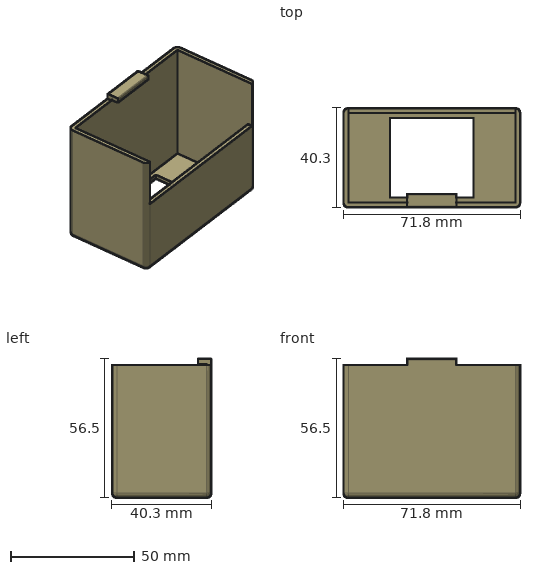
import cadquery as cq

length = 71.8
depth = 40.3
total_height = 56.5
wall = 2.0
edge_radius = 2.0

tab_height = 2.5
tab_width = 20.0
tab_depth = 5.5
tab_edge_radius = 0.5
hook_clearance = 0.3

window_length = 33.8
window_depth = 32.2
back_wall_drop = 21.05

body_height = total_height - tab_height
inner_length = length - 2 * wall
inner_depth = depth - 2 * wall
front_y = -depth / 2


def make_body():
    """Open-topped box with rounded outer corners and bottom edges."""
    body = (
        cq.Workplane("XY")
        .box(length, depth, body_height, centered=(True, True, False))
        .edges("|Z or <Z")
        .fillet(edge_radius)
    )
    cavity = (
        cq.Workplane("XY", origin=(0, 0, wall))
        .box(inner_length, inner_depth, body_height, centered=(True, True, False))
    )
    return body.cut(cavity)


def make_window():
    """Rectangular opening through the floor."""
    return cq.Workplane("XY").box(window_length, window_depth, 2 * wall)


def make_back_opening():
    """Gap between the side walls above the lowered back wall."""
    return (
        cq.Workplane("XY", origin=(0, depth / 2, body_height - back_wall_drop))
        .box(inner_length, 2 * wall, back_wall_drop, centered=(True, True, False))
    )


def make_tab():
    """Latch tab whose hook overhangs the cavity, with rounded long edges."""
    hook_y = front_y + tab_depth
    hook_z = body_height + hook_clearance
    stem = (
        cq.Workplane("XY", origin=(0, front_y, body_height))
        .box(tab_width, wall, tab_height / 2, centered=(True, False, False))
    )
    hook = (
        cq.Workplane("XY", origin=(0, front_y, hook_z))
        .box(tab_width, tab_depth, total_height - hook_z, centered=(True, False, False))
    )
    rounded_hook = hook.edges("|X and (>Y or >Z)").fillet(tab_edge_radius)
    return rounded_hook.union(stem)


result = make_body().cut(make_window()).cut(make_back_opening()).union(make_tab())